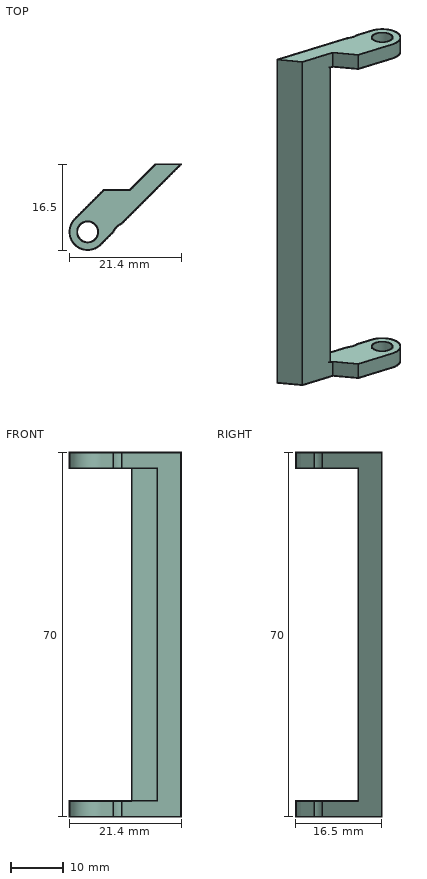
import cadquery as cq
import math

length = 70.0
lug_thickness = 3.1
lug_radius = 3.5
hole_diameter = 4.0
shoulder_y = 8.05
bar_foot_y = 8.5
bar_end_y = 13.0
relief_end_x = 6.5
relief_depth = 0.2

diagonal = math.sqrt(0.5)
tangent = lug_radius * diagonal
skew_width = lug_radius / diagonal

relief_start_x = skew_width
relief_middle_x = (relief_start_x + relief_end_x) / 2
relief_start = (relief_start_x, 0)
relief_end = (relief_end_x, relief_end_x - skew_width)
relief_middle = (
    relief_middle_x - relief_depth * diagonal,
    relief_middle_x - skew_width + relief_depth * diagonal,
)


def make_bar():
    """Full-length bar with a parallelogram section."""
    return (
        cq.Workplane("XY")
        .moveTo(bar_foot_y, bar_foot_y)
        .lineTo(bar_foot_y + skew_width, bar_foot_y)
        .lineTo(bar_end_y + skew_width, bar_end_y)
        .lineTo(bar_end_y, bar_end_y)
        .close()
        .extrude(length)
    )


def make_lug(bottom_z):
    """Round-ended hinge lug that reaches the foot of the bar."""
    lug = (
        cq.Workplane("XY", origin=(0, 0, bottom_z))
        .moveTo(-tangent, tangent)
        .threePointArc((-tangent, -tangent), (tangent, -tangent))
        .lineTo(*relief_start)
        .threePointArc(relief_middle, relief_end)
        .lineTo(bar_foot_y + skew_width, bar_foot_y)
        .lineTo(bar_foot_y, bar_foot_y)
        .lineTo(shoulder_y, shoulder_y)
        .lineTo(shoulder_y - skew_width, shoulder_y)
        .close()
        .extrude(lug_thickness)
    )
    hole = (
        cq.Workplane("XY", origin=(0, 0, bottom_z))
        .circle(hole_diameter / 2)
        .extrude(lug_thickness)
    )
    return lug.cut(hole)


result = make_bar()
for lug_bottom in (0, length - lug_thickness):
    result = result.union(make_lug(lug_bottom))
result = result.clean()